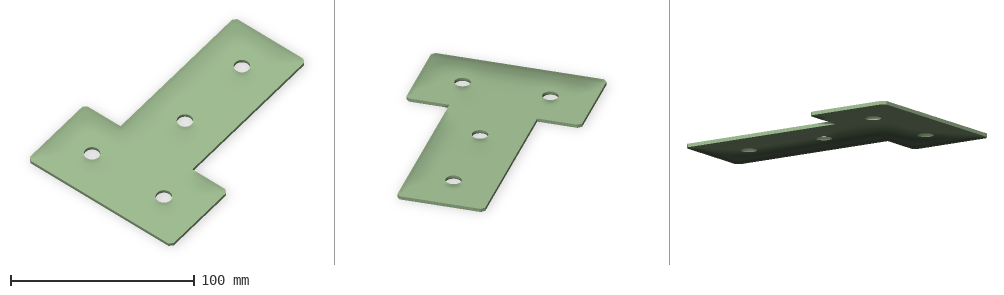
import cadquery as cq

grid_pitch = 50.0
thickness = 2.0
hole_diameter = 9.0
corner_chamfer = 2.0

half_pitch = grid_pitch / 2
bar_length = 2 * grid_pitch
total_length = 3 * grid_pitch

hole_centers = [
    (-half_pitch, half_pitch),
    (half_pitch, half_pitch),
    (0, total_length - half_pitch - grid_pitch),
    (0, total_length - half_pitch),
]


def slab(width, length):
    """Flat rectangle centered on X, running from Y = 0 toward +Y, standing on Z = 0."""
    return cq.Workplane("XY").box(width, length, thickness, centered=(True, False, False))


def make_bar():
    """Cross bar of the T, with all four corners chamfered."""
    return slab(bar_length, grid_pitch).edges("|Z").chamfer(corner_chamfer)


def make_stem():
    """Stem of the T, overlapping the bar, with its two free corners chamfered."""
    return slab(grid_pitch, total_length).faces(">Y").edges("|Z").chamfer(corner_chamfer)


def make_holes():
    """Cylinders that cut the four through holes."""
    return cq.Workplane("XY").pushPoints(hole_centers).circle(hole_diameter / 2).extrude(thickness)


result = make_bar().union(make_stem()).clean().cut(make_holes())